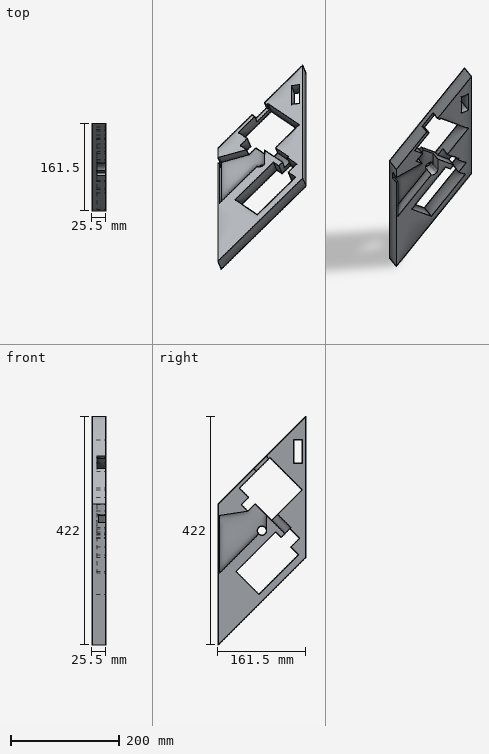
import cadquery as cq
import math

thickness = 25.5
width = 161.5
height = 422.0
hole_diameter = 16.5
half_width = width / 2
half_height = height / 2
edge_drop = width

across_angle = 135.0
edge_across = (half_height - half_width) / math.sqrt(2)

upper_window = (-105.5, -26.0, 1.0, 85.0)
upper_tab = (upper_window[1], -7.0, 44.0, 60.8)
lower_window = (-16.0, 87.0, -79.0, -19.5)
lower_tab = (-39.0, lower_window[0], -59.0, -33.8)

opening_width = 15.0
opening_height = 43.0
opening_y = 66.5
opening_z = 146.0

recess_floor = 9.0
notch_start = -103.0
notch_end = -70.0
channel_width = 15.5
rim = 3.0

slot_floor = 12.2
slot_height = 13.5
slot_z = 21.5


def point(along, across):
    """Return (Y, Z) for a position in the diagonal directions."""
    return (-(along + across) / math.sqrt(2), (across - along) / math.sqrt(2))


def prism(points, floor=0.0):
    """Extrude a YZ outline from the given X to the back face."""
    return cq.Workplane("YZ", origin=(floor, 0, 0)).polyline(points).close().extrude(thickness - floor)


def diagonal_box(bounds, floor=0.0):
    along_start, along_end, across_start, across_end = bounds
    return (
        cq.Workplane("YZ", origin=(floor, 0, 0))
        .transformed(rotate=(0, 0, across_angle))
        .center((across_start + across_end) / 2, (along_start + along_end) / 2)
        .rect(across_end - across_start, along_end - along_start)
        .extrude(thickness - floor)
    )


def upright_box(center_y, center_z, size_y, size_z, floor=0.0):
    return (
        cq.Workplane("YZ", origin=(floor, 0, 0))
        .center(center_y, center_z)
        .rect(size_y, size_z)
        .extrude(thickness - floor)
    )


def back_recess():
    """Recess joining the hole, the upper tab and the slot in the -Y edge."""
    hole_radius = hole_diameter / 2
    inner_y = rim - half_width
    slot_top = slot_z + slot_height / 2
    window_z = -upper_window[1] * math.sqrt(2) + hole_radius
    window_corner = point(upper_window[1], upper_tab[2])
    return prism([
        (hole_radius, 0),
        (hole_radius, window_z),
        window_corner,
        point(upper_tab[1], upper_tab[2]),
        (inner_y, slot_top),
        (inner_y, inner_y),
        (0, 0),
    ], recess_floor)


plate = prism([
    (half_width, half_height),
    (-half_width, half_height - edge_drop),
    (-half_width, -half_height),
    (half_width, edge_drop - half_height),
])

for window in (upper_window, upper_tab, lower_window, lower_tab):
    plate = plate.cut(diagonal_box(window))
plate = plate.cut(cq.Workplane("YZ").circle(hole_diameter / 2).extrude(thickness))
plate = plate.cut(upright_box(opening_y, opening_z, opening_width, opening_height))

edge_notch = (notch_start, notch_end, upper_window[3], edge_across)
window_channel = (upper_window[1] - channel_width, upper_window[1], lower_tab[3], upper_window[2])
for recess in (edge_notch, window_channel):
    plate = plate.cut(diagonal_box(recess, recess_floor))

plate = plate.cut(back_recess())
plate = plate.cut(upright_box(-half_width + rim / 2, slot_z, rim, slot_height, slot_floor))

result = plate